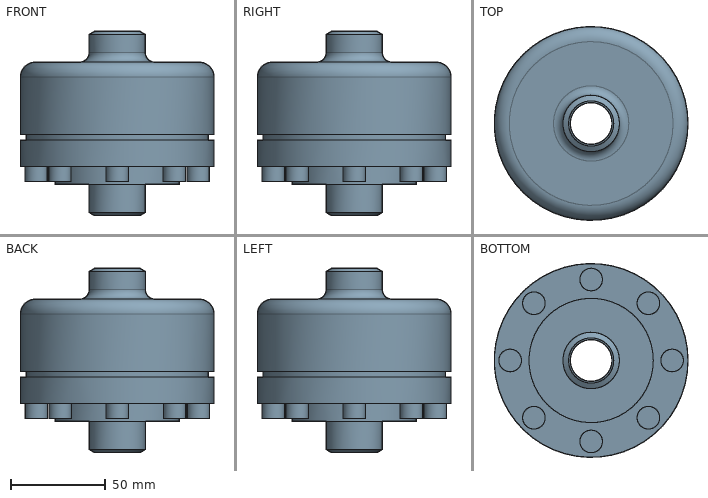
import cadquery as cq
import math

TOTAL_HEIGHT = 98.0
FLANGE_BOTTOM = 26.1
FLANGE_THICKNESS = 14.0
GROOVE_WIDTH = 3.0
COVER_HEIGHT = 38.5
PAD_HEIGHT = 9.5
SCREW_HEAD_HEIGHT = 8.0
FLANGE_TOP = FLANGE_BOTTOM + FLANGE_THICKNESS
COVER_BOTTOM = FLANGE_TOP + GROOVE_WIDTH
COVER_TOP = COVER_BOTTOM + COVER_HEIGHT

BODY_DIAMETER = 103.0
GROOVE_DIAMETER = 97.0
PAD_DIAMETER = 66.0
PIPE_DIAMETER = 30.0
BORE_DIAMETER = 22.0

COVER_EDGE_RADIUS = 8.0
NECK_RADIUS = 5.0
PIPE_BEVEL_WIDTH = 3.0
PIPE_BEVEL_ANGLE = 30.0
PIPE_BEVEL_HEIGHT = PIPE_BEVEL_WIDTH * math.tan(math.radians(PIPE_BEVEL_ANGLE))

SCREW_COUNT = 8
SCREW_HEAD_DIAMETER = 12.0
SCREW_CIRCLE_RADIUS = 43.0


def disc(diameter, bottom, top):
    """Cylinder about the Z axis between two heights."""
    return cq.Workplane("XY").workplane(offset=bottom).circle(diameter / 2).extrude(top - bottom)


def make_cover():
    """Upper housing with a rounded top edge."""
    cover = disc(BODY_DIAMETER, COVER_BOTTOM, COVER_TOP)
    return cover.faces(">Z").edges().fillet(COVER_EDGE_RADIUS)


def make_pipe():
    """Central pipe with a weld bevel on the outside of both ends."""
    radius = PIPE_DIAMETER / 2
    end_radius = radius - PIPE_BEVEL_WIDTH
    profile = (
        cq.Workplane("XZ")
        .moveTo(0, 0)
        .lineTo(end_radius, 0)
        .lineTo(radius, PIPE_BEVEL_HEIGHT)
        .lineTo(radius, TOTAL_HEIGHT - PIPE_BEVEL_HEIGHT)
        .lineTo(end_radius, TOTAL_HEIGHT)
        .lineTo(0, TOTAL_HEIGHT)
        .close()
    )
    return profile.revolve(360, (0, 0, 0), (0, 1, 0))


def make_neck():
    """Concave flare joining the upper pipe to the cover."""
    radius = PIPE_DIAMETER / 2
    middle = NECK_RADIUS * (1 - math.sqrt(0.5))
    profile = (
        cq.Workplane("XZ")
        .moveTo(0, COVER_TOP)
        .lineTo(radius + NECK_RADIUS, COVER_TOP)
        .threePointArc((radius + middle, COVER_TOP + middle), (radius, COVER_TOP + NECK_RADIUS))
        .lineTo(0, COVER_TOP + NECK_RADIUS)
        .close()
    )
    return profile.revolve(360, (0, 0, 0), (0, 1, 0))


def make_screw_heads():
    """Ring of cylindrical screw heads hanging below the flange."""
    return (
        cq.Workplane("XY")
        .workplane(offset=FLANGE_BOTTOM - SCREW_HEAD_HEIGHT)
        .polarArray(SCREW_CIRCLE_RADIUS, 0, 360, SCREW_COUNT)
        .circle(SCREW_HEAD_DIAMETER / 2)
        .extrude(SCREW_HEAD_HEIGHT)
    )


body = make_cover()
body = body.union(disc(GROOVE_DIAMETER, FLANGE_TOP, COVER_BOTTOM))
body = body.union(disc(BODY_DIAMETER, FLANGE_BOTTOM, FLANGE_TOP))
body = body.union(disc(PAD_DIAMETER, FLANGE_BOTTOM - PAD_HEIGHT, FLANGE_BOTTOM))
body = body.union(make_screw_heads())
body = body.union(make_pipe())
body = body.union(make_neck())

result = body.cut(disc(BORE_DIAMETER, 0, TOTAL_HEIGHT))